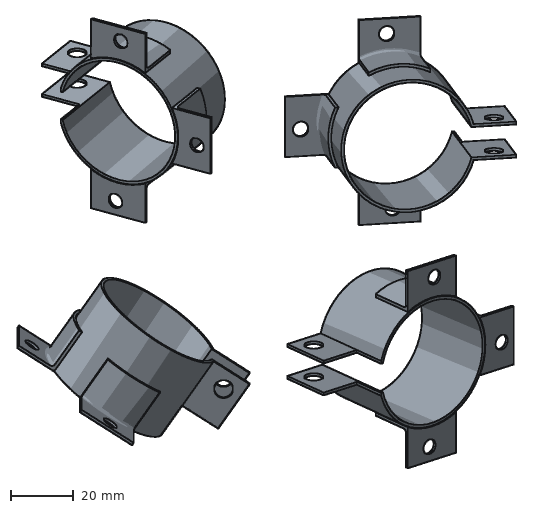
import cadquery as cq
import math

sheet = 1.0
band_inner_radius = 21.0
band_outer_radius = band_inner_radius + sheet
band_length = 30.0
front_y = -band_length / 2

ear_end_x = -35.0
ear_inner_z = 5.0
ear_outer_z = ear_inner_z + sheet
ear_width = 18.0
ear_hole_diameter = 6.0
ear_hole_inset = 6.0
ear_root_x = -math.sqrt(band_outer_radius**2 - ear_outer_z**2)

bracket_gap = 0.25
saddle_inner_radius = band_outer_radius + bracket_gap
saddle_outer_radius = saddle_inner_radius + sheet
saddle_length = 16.0
bracket_width = 20.0
bracket_reach = 34.0
bend_radius = 1.0
bracket_hole_diameter = 5.0
bracket_hole_inset = 5.0
bracket_hole_offset = 1.0
bracket_angles = (0, 90, 180)


def cylinder_y(radius, start_y, length):
    """Solid cylinder around the Y axis, from start_y towards +Y."""
    return cq.Workplane("XZ", origin=(0, start_y, 0)).circle(radius).extrude(-length)


def box_between(low, high):
    """Box between two opposite corners."""
    size = [b - a for a, b in zip(low, high)]
    return cq.Workplane("XY").box(*size, centered=False).translate(low)


def make_band():
    back_y = front_y + band_length
    bore = cylinder_y(band_inner_radius, front_y, band_length)
    band = cylinder_y(band_outer_radius, front_y, band_length)

    for bottom_z in (ear_inner_z, -ear_outer_z):
        strip = box_between(
            (ear_end_x, front_y, bottom_z),
            (-band_inner_radius / 2, back_y, bottom_z + sheet),
        )
        band = band.union(strip)
    band = band.cut(bore)

    slit = box_between((ear_end_x, front_y, -ear_inner_z), (0, back_y, ear_inner_z))
    band = band.cut(slit)

    ear_relief = box_between(
        (ear_end_x, front_y, -ear_outer_z),
        (ear_root_x, back_y - ear_width, ear_outer_z),
    )
    band = band.cut(ear_relief)

    hole_x = ear_end_x + ear_hole_inset
    hole_y = back_y - ear_hole_inset
    ear_holes = (
        cq.Workplane("XY", origin=(hole_x, hole_y, -ear_outer_z))
        .circle(ear_hole_diameter / 2)
        .extrude(2 * ear_outer_z)
    )
    return band.cut(ear_holes)


def make_bracket(angle):
    """Bracket on top of the band, turned about Y by the given angle."""
    half_width = bracket_width / 2
    blank_radius = 2 * bracket_reach
    bend_end_radius = saddle_outer_radius + bend_radius
    flange_back_y = front_y + sheet

    angle_section = (
        cq.Workplane("YZ")
        .moveTo(front_y, saddle_inner_radius)
        .lineTo(front_y + saddle_length, saddle_inner_radius)
        .lineTo(front_y + saddle_length, saddle_outer_radius)
        .lineTo(flange_back_y + bend_radius, saddle_outer_radius)
        .radiusArc((flange_back_y, bend_end_radius), bend_radius)
        .lineTo(flange_back_y, blank_radius)
        .lineTo(front_y, blank_radius)
        .close()
    )
    round_angle = angle_section.revolve(360, (0, 0, 0), (1, 0, 0))
    outline = box_between(
        (-half_width, front_y, 0),
        (half_width, front_y + saddle_length, bracket_reach),
    )
    bracket = round_angle.intersect(outline)

    hole = (
        cylinder_y(bracket_hole_diameter / 2, front_y, sheet)
        .translate((bracket_hole_offset, 0, bracket_reach - bracket_hole_inset))
    )
    return bracket.cut(hole).rotate((0, 0, 0), (0, 1, 0), angle)


band = make_band()
brackets = [make_bracket(angle) for angle in bracket_angles]

result = cq.Compound.makeCompound([band.val(), *[bracket.val() for bracket in brackets]])